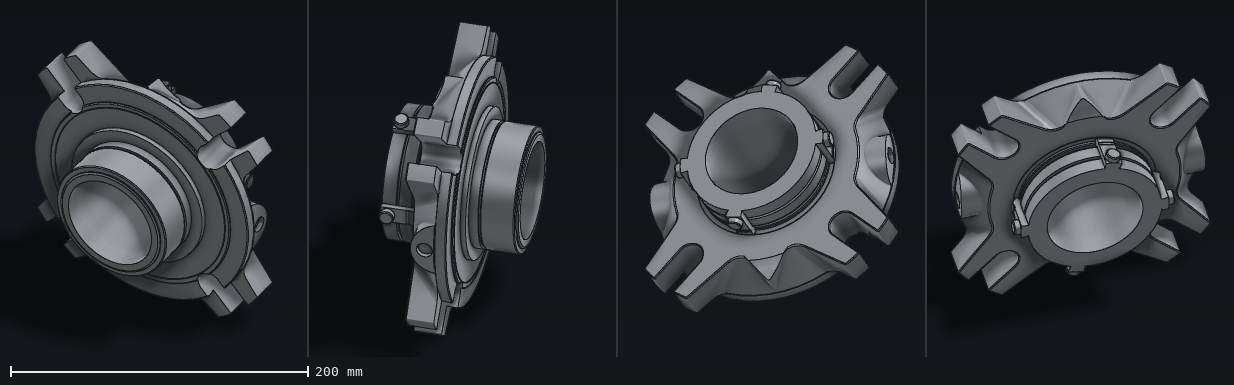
import cadquery as cq
import math


NOSE_END = 1.5
GROOVE_START = 25.4
GROOVE_END = 26.8
SLEEVE_END = 33.1
STEP_END = 36.8
FLANGE_FRONT = 38.2
PLATE_FRONT = 46.0
PLATE_BACK = 65.9
NECK_BACK = 66.4
COLLAR_BACK = 68.7
RING_FRONT = 71.5
RING_BACK = 80.8
DRIVE_FRONT = 83.0
TOTAL_LENGTH = 92.6

BORE_R = 66.7 / 2
NOSE_R = 79.5 / 2
NOSE_LEDGE_R = 81.3 / 2
SLEEVE_R = 87.7 / 2
SLEEVE_GROOVE_R = 84.3 / 2
STEP_R = 104.8 / 2
FACE_GROOVE_R = 68.3
RAISED_FACE_R = 72.0
FLANGE_R = 85.8
SHOULDER_R = 66.9
NECK_R = 49.8
COLLAR_R = 93.1 / 2
WAIST_R = 87.2 / 2
RING_R = 93.5 / 2
RING_GROOVE_R = 87.3 / 2
DRIVE_R = 93.1 / 2

EDGE_BREAK = 0.7
FACE_GROOVE_WIDTH = 0.4
FACE_GROOVE_DEPTH = 0.5
FLANGE_DRAFT = 0.5
ROOT_FILLET = 0.9
MATCH_TOLERANCE = 0.02

LUG_TIP_R = 105.3
LUG_TIP_HALF_WIDTH = 21.8
LUG_ROOT_U = 52.8
LUG_SPLAY = 9.0
LUG_ROOT_FILLET = 7.0
LUG_CORNER_R = 1.0
LUG_ANGLES = (45, 135, 225, 315)
SLOT_WIDTH = 19.0
SLOT_BOTTOM_R = 68.7

BOSS_R = 19.9
BOSS_CENTRE_Y = 43.1
BOSS_ROOT_X = 63.4
PORT_ANGLES = (0, 180)
PORT_HOLE_D = 11.0
PORT_HOLE_Y = 53.2
PORT_HOLE_DEPTH = 4.4

RIDGE_ANGLES = (90, 270)
RIDGE_APEX = 85.0
RIDGE_HALF_ANGLE = 37.4
RIDGE_NOSE_R = 1.5
RIDGE_ROOT = 63.4
RIDGE_TOP_BACK = 60.7
RIDGE_SCOOP_R = 76.5
RIDGE_SCOOP_Y = 62.0
RIDGE_FOOT_R = 69.7

CLIP_ANGLES = (0, 105, 180, 285)
CLIP_SPAN = 12.7
CLIP_OUTER_R = 51.6
CLIP_INNER_R = 46.5
CLIP_FOOT_R = 44.4
CLIP_BEVEL = 3.0
CLIP_NOTCH_FRONT = 72.5
CLIP_NOTCH_BACK = 74.7
CLIP_NOTCH_DEPTH = 0.5
PIN_D = 10.0
PIN_OUTER_R = 55.8
PIN_Y = 87.5


def revolve(points):
    """Turn a closed (radius, Y) outline about the Y axis."""
    return cq.Workplane("XY").polyline(points).close().revolve(360, (0, 0, 0), (0, 1, 0))


def around(solid, angle):
    """Turn a solid from the +X direction towards +Z by an angle."""
    return solid.rotate((0, 0, 0), (0, 1, 0), -angle)


def along_y(y):
    """Workplane facing +Y at a given station, with local axes X and -Z."""
    return cq.Workplane(cq.Plane((0, y, 0), (1, 0, 0), (0, 1, 0)))


def sleeve_and_flange():
    """Sleeve, step, raised face and round flange."""
    groove_inner = FACE_GROOVE_R - FACE_GROOVE_WIDTH
    groove_floor = STEP_END + FACE_GROOVE_DEPTH
    return revolve([
        (0, 0),
        (NOSE_R - 2 * EDGE_BREAK, 0),
        (NOSE_R, EDGE_BREAK),
        (NOSE_R, NOSE_END),
        (NOSE_LEDGE_R, NOSE_END),
        (SLEEVE_R - EDGE_BREAK, NOSE_END),
        (SLEEVE_R, NOSE_END + EDGE_BREAK),
        (SLEEVE_R, GROOVE_START - EDGE_BREAK),
        (SLEEVE_R - EDGE_BREAK, GROOVE_START),
        (SLEEVE_GROOVE_R, GROOVE_START),
        (SLEEVE_GROOVE_R, GROOVE_END),
        (SLEEVE_R, GROOVE_END),
        (SLEEVE_R, SLEEVE_END),
        (STEP_R, SLEEVE_END),
        (STEP_R, STEP_END),
        (groove_inner, STEP_END),
        (groove_inner, groove_floor),
        (FACE_GROOVE_R, groove_floor),
        (FACE_GROOVE_R, STEP_END),
        (RAISED_FACE_R - EDGE_BREAK, STEP_END),
        (RAISED_FACE_R, STEP_END + EDGE_BREAK),
        (RAISED_FACE_R, FLANGE_FRONT),
        (FLANGE_R - EDGE_BREAK, FLANGE_FRONT),
        (FLANGE_R, FLANGE_FRONT + EDGE_BREAK),
        (FLANGE_R - FLANGE_DRAFT, PLATE_FRONT),
        (0, PLATE_FRONT),
    ])


def gland_rings():
    """Neck, collar and rings behind the lug plate."""
    return revolve([
        (0, PLATE_FRONT),
        (NECK_R, PLATE_FRONT),
        (NECK_R, NECK_BACK),
        (COLLAR_R, NECK_BACK),
        (COLLAR_R, COLLAR_BACK - EDGE_BREAK),
        (COLLAR_R - EDGE_BREAK, COLLAR_BACK),
        (WAIST_R, COLLAR_BACK),
        (WAIST_R, RING_FRONT),
        (RING_R - EDGE_BREAK, RING_FRONT),
        (RING_R, RING_FRONT + EDGE_BREAK),
        (RING_R, RING_BACK),
        (RING_GROOVE_R, RING_BACK),
        (RING_GROOVE_R, DRIVE_FRONT),
        (DRIVE_R, DRIVE_FRONT),
        (DRIVE_R, TOTAL_LENGTH),
        (0, TOTAL_LENGTH),
    ])


def lug_pair():
    """One splayed pair of lugs, still joined, pointing along +X."""
    tip_u = math.sqrt(LUG_TIP_R**2 - LUG_TIP_HALF_WIDTH**2)
    root_v = LUG_TIP_HALF_WIDTH + (tip_u - LUG_ROOT_U) * math.tan(math.radians(LUG_SPLAY))
    return (
        along_y(PLATE_FRONT)
        .moveTo(LUG_ROOT_U, -root_v)
        .lineTo(tip_u, -LUG_TIP_HALF_WIDTH)
        .threePointArc((LUG_TIP_R, 0), (tip_u, LUG_TIP_HALF_WIDTH))
        .lineTo(LUG_ROOT_U, root_v)
        .close()
        .extrude(PLATE_BACK - PLATE_FRONT)
    )


def bolt_slot():
    """Round-bottomed slot open outwards along +X, through plate and flange."""
    radius = SLOT_WIDTH / 2
    centre_u = SLOT_BOTTOM_R + radius
    mouth_u = LUG_TIP_R + SLOT_WIDTH
    length = PLATE_BACK - STEP_END
    floor = along_y(STEP_END).center(centre_u, 0).circle(radius).extrude(length)
    throat = (
        along_y(STEP_END)
        .moveTo(centre_u, -radius)
        .lineTo(mouth_u, -radius)
        .lineTo(mouth_u, radius)
        .lineTo(centre_u, radius)
        .close()
        .extrude(length)
    )
    return floor.union(throat)


def lug_plate():
    """Conical shoulder with four lug pairs blended into it."""
    plate = revolve([
        (0, PLATE_FRONT),
        (FLANGE_R, PLATE_FRONT),
        (SHOULDER_R, PLATE_BACK),
        (0, PLATE_BACK),
    ])
    for angle in LUG_ANGLES:
        plate = plate.union(around(lug_pair(), angle))
    roots = [e for e in plate.edges().vals() if e.geomType() in ("HYPERBOLA", "BSPLINE")]
    plate = plate.newObject(roots).fillet(LUG_ROOT_FILLET)
    for angle in LUG_ANGLES:
        plate = plate.cut(around(bolt_slot(), angle))
    corners = [
        e for e in plate.edges("|Y").vals()
        if math.hypot(e.Center().x, e.Center().z) > LUG_TIP_R - EDGE_BREAK
    ]
    plate = plate.newObject(corners).fillet(LUG_CORNER_R)
    return plate.faces(">Y").edges().chamfer(EDGE_BREAK)


def port_boss():
    """Round boss along +X, faired to the flange radius."""
    boss = (
        cq.Workplane("YZ", origin=(BOSS_ROOT_X, 0, 0))
        .center(BOSS_CENTRE_Y, 0)
        .circle(BOSS_R)
        .extrude(FLANGE_R - BOSS_ROOT_X)
    )
    envelope = along_y(PLATE_FRONT).circle(FLANGE_R - FLANGE_DRAFT).extrude(PLATE_BACK - PLATE_FRONT)
    return boss.intersect(envelope)


def port_hole():
    """Blind radial hole entering the face of the boss at +X."""
    return (
        cq.Workplane("YZ", origin=(FLANGE_R - PORT_HOLE_DEPTH, 0, 0))
        .center(PORT_HOLE_Y, 0)
        .circle(PORT_HOLE_D / 2)
        .extrude(PORT_HOLE_DEPTH)
    )


def ridge():
    """Roof-shaped ridge along Y at +X, scooped at its back end."""
    root_half_width = (RIDGE_APEX - RIDGE_ROOT) * math.tan(math.radians(RIDGE_HALF_ANGLE))
    roof = (
        along_y(PLATE_FRONT)
        .polyline([(RIDGE_ROOT, -root_half_width), (RIDGE_APEX, 0), (RIDGE_ROOT, root_half_width)])
        .close()
        .extrude(PLATE_BACK - PLATE_FRONT)
        .edges("|Y and >X")
        .fillet(RIDGE_NOSE_R)
    )
    envelope = (
        cq.Workplane("XY")
        .moveTo(0, PLATE_FRONT)
        .lineTo(RIDGE_APEX, PLATE_FRONT)
        .lineTo(RIDGE_APEX, RIDGE_TOP_BACK)
        .threePointArc((RIDGE_SCOOP_R, RIDGE_SCOOP_Y), (RIDGE_FOOT_R, PLATE_BACK))
        .lineTo(0, PLATE_BACK)
        .close()
        .revolve(360, (0, 0, 0), (0, 1, 0))
    )
    return roof.intersect(envelope)


def setting_clip():
    """Hooked clip with its retaining pin, at +X."""
    foot_back = NECK_BACK + CLIP_BEVEL
    notch_floor = CLIP_OUTER_R - CLIP_NOTCH_DEPTH
    clip = (
        cq.Workplane("XY")
        .polyline([
            (CLIP_FOOT_R, NECK_BACK),
            (CLIP_OUTER_R - CLIP_BEVEL, NECK_BACK),
            (CLIP_OUTER_R, foot_back),
            (CLIP_OUTER_R, CLIP_NOTCH_FRONT),
            (notch_floor, CLIP_NOTCH_FRONT),
            (notch_floor, CLIP_NOTCH_BACK),
            (CLIP_OUTER_R, CLIP_NOTCH_BACK),
            (CLIP_OUTER_R, TOTAL_LENGTH),
            (CLIP_INNER_R, TOTAL_LENGTH),
            (CLIP_INNER_R, foot_back + CLIP_INNER_R - CLIP_FOOT_R),
            (CLIP_FOOT_R, foot_back),
        ])
        .close()
        .revolve(CLIP_SPAN, (0, 0, 0), (0, 1, 0))
        .rotate((0, 0, 0), (0, 1, 0), -CLIP_SPAN / 2)
    )
    pin = (
        cq.Workplane("YZ", origin=(CLIP_INNER_R, 0, 0))
        .center(PIN_Y, 0)
        .circle(PIN_D / 2)
        .extrude(PIN_OUTER_R - CLIP_INNER_R)
        .faces(">X")
        .edges()
        .chamfer(EDGE_BREAK)
    )
    return clip.union(pin)


def root_edges(plate):
    """Edges on the X and Z axes where the bosses and ridges rise out of the conical shoulder."""
    reach = max(BOSS_R, (RIDGE_APEX - SHOULDER_R) * math.tan(math.radians(RIDGE_HALF_ANGLE)))
    slope = (SHOULDER_R - FLANGE_R) / (PLATE_BACK - PLATE_FRONT)
    found = []
    for edge in plate.edges().vals():
        middle = edge.positionAt(0.5)
        shoulder_r = FLANGE_R + slope * (middle.y - PLATE_FRONT)
        on_shoulder = abs(math.hypot(middle.x, middle.z) - shoulder_r) < MATCH_TOLERANCE
        clear_of_front = middle.y > PLATE_FRONT + MATCH_TOLERANCE
        clear_of_back = middle.y < PLATE_BACK - EDGE_BREAK - MATCH_TOLERANCE
        near_axis = min(abs(middle.x), abs(middle.z)) < reach
        if on_shoulder and clear_of_front and clear_of_back and near_axis:
            found.append(edge)
    return found


flange = sleeve_and_flange()
for angle in LUG_ANGLES:
    flange = flange.cut(around(bolt_slot(), angle))

plate = lug_plate()
for angle in PORT_ANGLES:
    plate = plate.union(around(port_boss(), angle))
for angle in RIDGE_ANGLES:
    plate = plate.union(around(ridge(), angle))
plate = plate.newObject(root_edges(plate)).fillet(ROOT_FILLET)

result = flange.union(plate).union(gland_rings())
for angle in PORT_ANGLES:
    result = result.cut(around(port_hole(), angle))
for angle in CLIP_ANGLES:
    result = result.union(around(setting_clip(), angle))

bore = along_y(0).circle(BORE_R).extrude(TOTAL_LENGTH)
result = result.cut(bore)